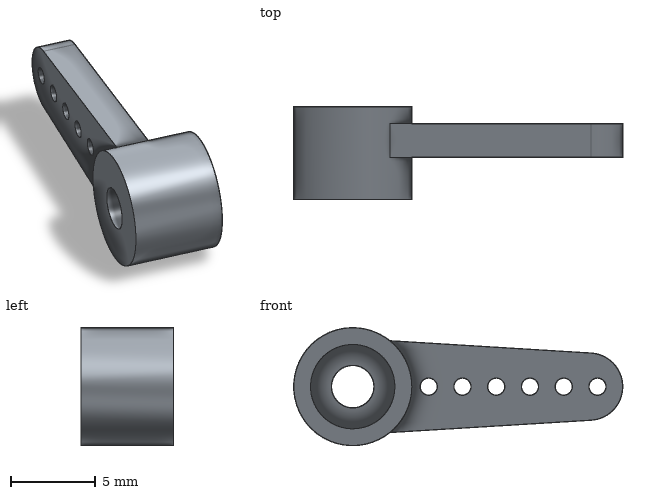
import cadquery as cq
import math

hub_diameter = 7.0
hub_length = 5.5
socket_diameter = 5.0
socket_depth = 3.0
screw_hole_diameter = 2.5

arm_thickness = 2.0
arm_front_offset = 2.5
tip_radius = 2.0
tip_reach = 16.0
taper_angle = math.radians(3.5)

link_hole_count = 6
link_hole_diameter = 1.0
link_hole_pitch = 2.0
first_link_hole_x = 4.5


def cylinder_along_y(diameter, front_y, length, center_x=0.0):
    """Cylinder whose front face is at front_y and which extends towards +Y."""
    return (
        cq.Workplane("XZ", origin=(center_x, front_y, 0))
        .circle(diameter / 2)
        .extrude(-length)
    )


def make_arm():
    """Plate whose long edges are tangent to the tip arc and end on the hub surface."""
    tip_center_x = tip_reach - tip_radius
    tangent_x = tip_center_x + tip_radius * math.sin(taper_angle)
    tangent_z = tip_radius * math.cos(taper_angle)
    edge_height_at_axis = tangent_z + tangent_x * math.tan(taper_angle)
    edge_distance = edge_height_at_axis * math.cos(taper_angle)
    root_angle = math.asin(edge_distance / (hub_diameter / 2)) - taper_angle
    root_x = hub_diameter / 2 * math.cos(root_angle)
    root_z = hub_diameter / 2 * math.sin(root_angle)
    return (
        cq.Workplane("XZ", origin=(0, arm_front_offset, 0))
        .moveTo(root_x, -root_z)
        .lineTo(tangent_x, -tangent_z)
        .threePointArc((tip_reach, 0), (tangent_x, tangent_z))
        .lineTo(root_x, root_z)
        .close()
        .extrude(-arm_thickness)
    )


def make_hub_bore():
    """Wide socket from the front face, then a screw hole through the rest."""
    socket = cylinder_along_y(socket_diameter, 0, socket_depth)
    screw_hole = cylinder_along_y(screw_hole_diameter, 0, hub_length)
    return socket.union(screw_hole)


def cut_link_holes(body):
    for index in range(link_hole_count):
        hole_x = first_link_hole_x + index * link_hole_pitch
        body = body.cut(cylinder_along_y(link_hole_diameter, arm_front_offset, arm_thickness, hole_x))
    return body


hub = cylinder_along_y(hub_diameter, 0, hub_length)
result = cut_link_holes(hub.union(make_arm()).cut(make_hub_bore()))